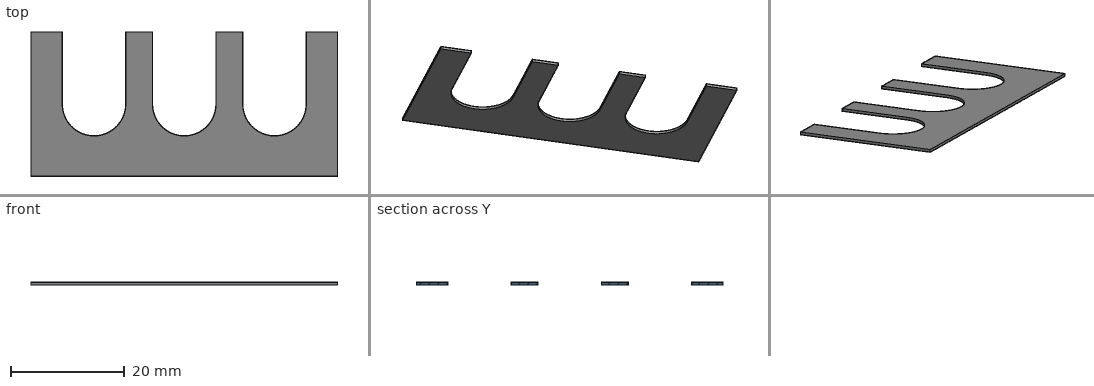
import cadquery as cq

plate_length = 54.0
plate_width = 25.4
plate_thickness = 0.5

slot_count = 3
slot_pitch = 15.85
slot_width = 11.1
slot_radius = slot_width / 2
slot_arc_center_y = 0.0


def make_plate():
    return cq.Workplane("XY").box(plate_length, plate_width, plate_thickness)


def make_slot(center_x):
    """Cutter for one slot: a round end at the bottom, open at the +Y edge."""
    open_edge_y = plate_width / 2
    return (
        cq.Workplane("XY")
        .workplane(offset=-plate_thickness / 2)
        .moveTo(center_x - slot_radius, open_edge_y)
        .lineTo(center_x - slot_radius, slot_arc_center_y)
        .threePointArc(
            (center_x, slot_arc_center_y - slot_radius),
            (center_x + slot_radius, slot_arc_center_y),
        )
        .lineTo(center_x + slot_radius, open_edge_y)
        .close()
        .extrude(plate_thickness)
    )


result = make_plate()
for index in range(slot_count):
    slot_x = (index - (slot_count - 1) / 2) * slot_pitch
    result = result.cut(make_slot(slot_x))